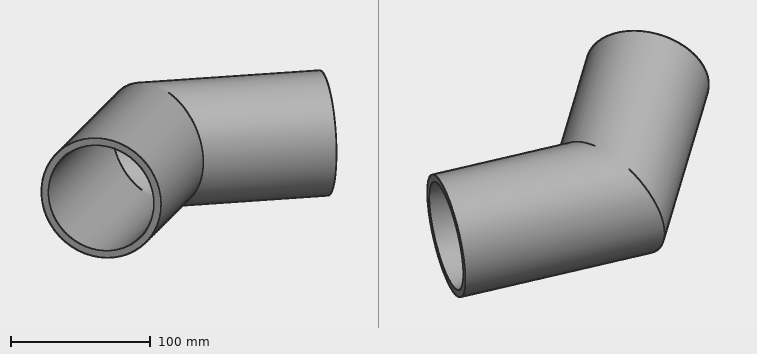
import cadquery as cq
import math

overall_length = 224.0
outer_diameter = 90.0
wall = 5.4
leg_slope = 30.0

outer_radius = outer_diameter / 2
inner_radius = outer_radius - wall
slope = math.radians(leg_slope)

end_face_rise = outer_radius * math.cos(slope)
leg_length = (overall_length - end_face_rise) / (1 + math.sin(slope))

mitre_point = (0, leg_length, 0)
half_bend = math.radians(90 - leg_slope) / 2
mitre_normal = (math.sin(half_bend), math.cos(half_bend), 0)
mitre_plane = cq.Plane(origin=mitre_point, xDir=(0, 0, 1), normal=mitre_normal)

uncut_length = leg_length + outer_diameter
trim_size = 4 * outer_diameter
beyond_mitre = cq.Workplane(mitre_plane).rect(trim_size, trim_size).extrude(trim_size)
first_leg = (
    cq.Workplane("XZ")
    .circle(outer_radius)
    .circle(inner_radius)
    .extrude(-uncut_length)
    .cut(beyond_mitre)
)

second_leg = first_leg.mirror(cq.Vector(mitre_normal), mitre_point)

result = first_leg.union(second_leg)